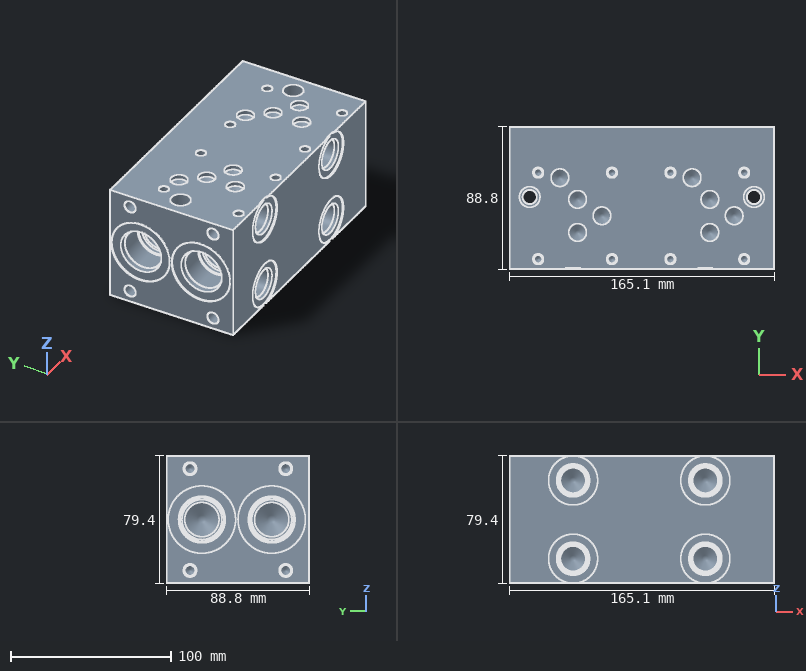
import cadquery as cq
import math

LENGTH = 165.1
WIDTH = 88.8
HEIGHT = 79.4

DRILL_POINT_ANGLE = 118.0

STATION_PITCH = 82.5
STATION_OFFSETS = (0.0, STATION_PITCH)

WORK_PORT_X = 39.6
WORK_SPOTFACE_DIA = 30.7
WORK_SPOTFACE_OVERLAP = 0.08
WORK_PORT_EDGE = WORK_SPOTFACE_DIA / 2 - WORK_SPOTFACE_OVERLAP
WORK_SEAL_OUTER_DIA = 20.6
WORK_SEAL_INNER_DIA = 19.3
WORK_SEAL_LENGTH = 2.5
WORK_THREAD_DIA = 19.0
WORK_THREAD_END = 14.4
WORK_MINOR_DIA = 17.5
WORK_MINOR_END = 18.0
WORK_DRILL_DIA = 15.8
WORK_DRILL_END = 26.4

MAIN_PORT_MID_Y = 45.0
MAIN_PORT_SPACING = 43.6
MAIN_SPOTFACE_DIA = 42.1
MAIN_SEAL_OUTER_DIA = 29.2
MAIN_SEAL_INNER_DIA = 27.4
MAIN_SEAL_LENGTH = 3.3
MAIN_THREAD_DIA = 27.0
MAIN_THREAD_END = 19.8
MAIN_MINOR_DIA = 25.0
MAIN_MINOR_END = 23.1
MAIN_DRILL_DIA = 21.5
MAIN_DRILL_END = 36.3

SPOTFACE_DEPTH = 0.8

END_TAP_EDGE_Y = 14.5
END_TAP_EDGE_Z = 8.0
END_TAP_CHAMFER_DIA = 8.3
END_TAP_THREAD_DIA = 8.0
END_TAP_THREAD_END = 16.5
END_TAP_DRILL_DIA = 6.6
END_TAP_DRILL_END = 19.8

VALVE_TAP_X = 17.8
VALVE_TAP_Y = 6.3
VALVE_TAP_SPACING_X = 46.0
VALVE_TAP_SPACING_Y = 54.0
VALVE_TAP_CHAMFER_DIA = 6.6
VALVE_TAP_THREAD_DIA = 6.3
VALVE_TAP_THREAD_END = 13.2
VALVE_TAP_DRILL_DIA = 5.1
VALVE_TAP_DRILL_END = 16.5

PASSAGE_DIA = 11.0
PASSAGE_DEPTH = 3.3
PASSAGE_OFFSETS = ((13.5, 50.9), (24.6, 37.3), (39.8, 27.0), (24.6, 16.7))

BOLT_EDGE_X = 12.5
BOLT_DIA = 8.8
BOLT_COUNTERBORE_DIA = 12.9
BOLT_COUNTERBORE_DEPTH = 16.5


def revolved_hole(origin, direction, profile):
    """Solid of revolution from (diameter, depth) pairs, sunk from origin along direction."""
    outline = [(0, profile[0][1])]
    outline += [(diameter / 2, depth) for diameter, depth in profile]
    last_diameter, last_depth = profile[-1]
    if last_diameter > 0:
        outline.append((0, last_depth))
    axis = cq.Vector(*direction)
    across = axis.cross(cq.Vector(1, 1, 1)).normalized()
    plane = cq.Plane(origin=origin, xDir=across, normal=across.cross(axis))
    return cq.Workplane(plane).polyline(outline).close().revolve(360, (0, 0), (0, 1)).val()


def drilled_end(diameter, depth):
    """Profile points for a bore that reaches depth and finishes in a drill point."""
    tip_length = diameter / 2 / math.tan(math.radians(DRILL_POINT_ANGLE / 2))
    return [(diameter, depth), (0, depth + tip_length)]


def tapped_profile(chamfer_dia, thread_dia, thread_end, drill_dia, drill_end):
    """45 degree lead-in, thread and pilot drill."""
    chamfer_depth = (chamfer_dia - thread_dia) / 2
    return [
        (chamfer_dia, 0),
        (thread_dia, chamfer_depth),
        (thread_dia, thread_end),
        (drill_dia, thread_end),
    ] + drilled_end(drill_dia, drill_end)


def port_profile(
    spotface, seal_outer, seal_inner, seal_length, thread, thread_end, minor, minor_end, drill, drill_end
):
    """Spotface, tapered seal seat, thread, thread minor bore and drill."""
    seal_end = SPOTFACE_DEPTH + seal_length
    return [
        (spotface, 0),
        (spotface, SPOTFACE_DEPTH),
        (seal_outer, SPOTFACE_DEPTH),
        (seal_inner, seal_end),
        (thread, seal_end),
        (thread, thread_end),
        (minor, thread_end),
        (minor, minor_end),
        (drill, minor_end),
    ] + drilled_end(drill, drill_end)


def work_ports():
    profile = port_profile(
        WORK_SPOTFACE_DIA, WORK_SEAL_OUTER_DIA, WORK_SEAL_INNER_DIA, WORK_SEAL_LENGTH,
        WORK_THREAD_DIA, WORK_THREAD_END, WORK_MINOR_DIA, WORK_MINOR_END,
        WORK_DRILL_DIA, WORK_DRILL_END,
    )
    return [
        revolved_hole((WORK_PORT_X + offset, 0, z), (0, 1, 0), profile)
        for offset in STATION_OFFSETS
        for z in (WORK_PORT_EDGE, HEIGHT - WORK_PORT_EDGE)
    ]


def main_ports():
    profile = port_profile(
        MAIN_SPOTFACE_DIA, MAIN_SEAL_OUTER_DIA, MAIN_SEAL_INNER_DIA, MAIN_SEAL_LENGTH,
        MAIN_THREAD_DIA, MAIN_THREAD_END, MAIN_MINOR_DIA, MAIN_MINOR_END,
        MAIN_DRILL_DIA, MAIN_DRILL_END,
    )
    return [
        revolved_hole((0, MAIN_PORT_MID_Y + side * MAIN_PORT_SPACING / 2, HEIGHT / 2), (1, 0, 0), profile)
        for side in (-1, 1)
    ]


def end_taps():
    profile = tapped_profile(
        END_TAP_CHAMFER_DIA, END_TAP_THREAD_DIA, END_TAP_THREAD_END,
        END_TAP_DRILL_DIA, END_TAP_DRILL_END,
    )
    return [
        revolved_hole((0, y, z), (1, 0, 0), profile)
        for y in (END_TAP_EDGE_Y, WIDTH - END_TAP_EDGE_Y)
        for z in (END_TAP_EDGE_Z, HEIGHT - END_TAP_EDGE_Z)
    ]


def valve_taps():
    profile = tapped_profile(
        VALVE_TAP_CHAMFER_DIA, VALVE_TAP_THREAD_DIA, VALVE_TAP_THREAD_END,
        VALVE_TAP_DRILL_DIA, VALVE_TAP_DRILL_END,
    )
    return [
        revolved_hole((VALVE_TAP_X + offset + dx, VALVE_TAP_Y + dy, HEIGHT), (0, 0, -1), profile)
        for offset in STATION_OFFSETS
        for dx in (0, VALVE_TAP_SPACING_X)
        for dy in (0, VALVE_TAP_SPACING_Y)
    ]


def valve_passages():
    profile = [(PASSAGE_DIA, 0)] + drilled_end(PASSAGE_DIA, PASSAGE_DEPTH)
    return [
        revolved_hole((VALVE_TAP_X + offset + dx, VALVE_TAP_Y + dy, HEIGHT), (0, 0, -1), profile)
        for offset in STATION_OFFSETS
        for dx, dy in PASSAGE_OFFSETS
    ]


def bolt_holes():
    profile = [
        (BOLT_COUNTERBORE_DIA, 0),
        (BOLT_COUNTERBORE_DIA, BOLT_COUNTERBORE_DEPTH),
        (BOLT_DIA, BOLT_COUNTERBORE_DEPTH),
        (BOLT_DIA, HEIGHT),
    ]
    return [
        revolved_hole((x, MAIN_PORT_MID_Y, HEIGHT), (0, 0, -1), profile)
        for x in (BOLT_EDGE_X, LENGTH - BOLT_EDGE_X)
    ]


block = cq.Workplane("XY").box(LENGTH, WIDTH, HEIGHT, centered=False)
holes = work_ports() + main_ports() + end_taps() + valve_taps() + valve_passages() + bolt_holes()
result = cq.Workplane(block.val().cut(*holes).Solids()[0])